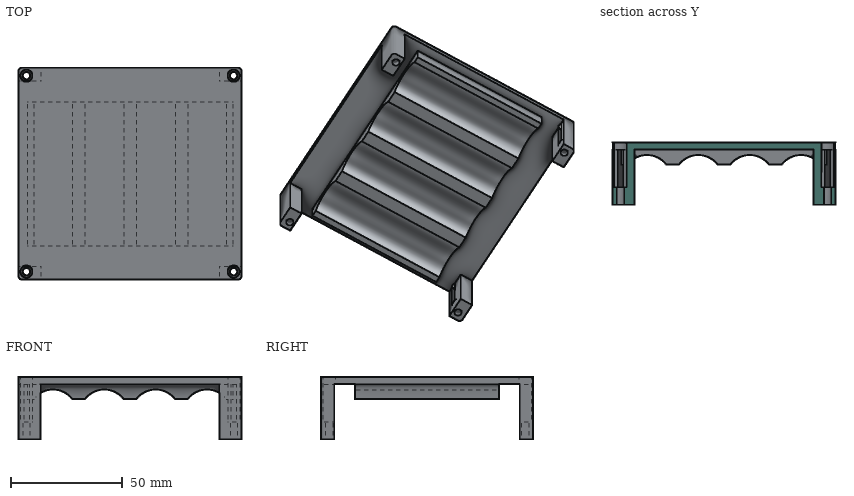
import cadquery as cq

length = 100.0
width = 95.0
height = 28.0
corner_radius = 1.6

plate_thickness = 3.2
leg_length = 10.0
leg_width = 6.0

hole_inset = 3.6
hole_diameter = 3.2
bore_diameter = 5.4
bore_floor = 8.0

cradle_width = 64.6
cradle_bottom = 18.0
scallop_count = 4
scallop_pitch = 23.0
scallop_radius = 10.9
scallop_top = 22.3
cradle_length = scallop_count * scallop_pitch

plate_bottom = height - plate_thickness


def bar(size_x, size_y, bottom, top):
    """Centred rectangular block between two heights."""
    return (
        cq.Workplane("XY", origin=(0, 0, bottom))
        .rect(size_x, size_y)
        .extrude(top - bottom)
    )


def make_frame():
    """Plate on four corner legs, open on all four sides."""
    body = bar(length, width, 0, height).edges("|Z").fillet(corner_radius)
    opening_x = bar(length, width - 2 * leg_width, 0, plate_bottom)
    opening_y = bar(length - 2 * leg_length, width, 0, plate_bottom)
    return body.cut(opening_x).cut(opening_y)


def make_cradle():
    """Block with a row of round troughs running along Y."""
    block = bar(cradle_length, cradle_width, cradle_bottom, plate_bottom)
    troughs = (
        cq.Workplane("XZ", origin=(0, 0, scallop_top - scallop_radius))
        .rarray(scallop_pitch, 1, scallop_count, 1)
        .circle(scallop_radius)
        .extrude(cradle_width / 2, both=True)
    )
    return block.cut(troughs)


def corner_cylinders(diameter, bottom):
    """Vertical cylinders at the four screw positions, up to the top face."""
    return (
        cq.Workplane("XY", origin=(0, 0, bottom))
        .rarray(length - 2 * hole_inset, width - 2 * hole_inset, 2, 2)
        .circle(diameter / 2)
        .extrude(height - bottom)
    )


result = (
    make_frame()
    .union(make_cradle())
    .cut(corner_cylinders(hole_diameter, 0))
    .cut(corner_cylinders(bore_diameter, bore_floor))
)